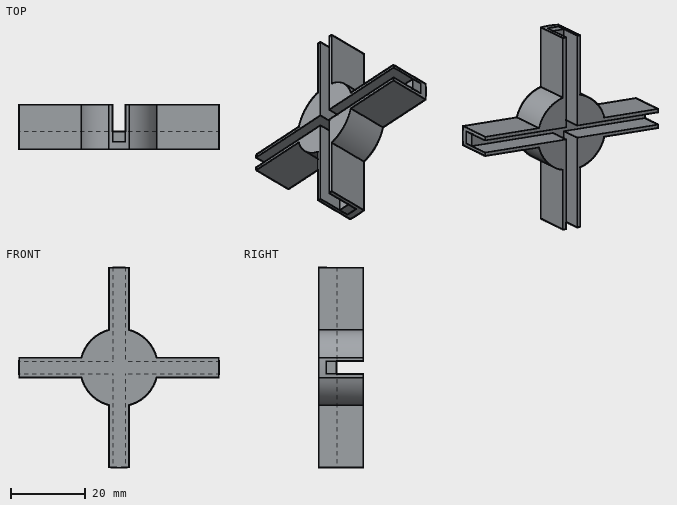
import cadquery as cq

thickness = 12.0
tip_radius = 26.947
hub_radius = 10.5
arm_width = 5.4
slot_width = 3.4
plate_thickness = 2.0
rail_top = 4.85
rail_half_length = 26.88

overshoot = 1.0


def y_cylinder(radius, depth):
    """Cylinder about the Y axis, from Y = 0 to Y = depth."""
    return cq.Workplane("XZ").circle(radius).extrude(-depth)


def cross(half_length, width, y_start, y_end):
    """Two crossed bars along X and Z, between two Y levels."""
    length = 2 * half_length
    plane = cq.Workplane("XZ", origin=(0, y_start, 0))
    bar_x = plane.rect(length, width).extrude(y_start - y_end)
    bar_z = plane.rect(width, length).extrude(y_start - y_end)
    return bar_x.union(bar_z)


def make_body():
    """Four arms with tips rounded about the Y axis, joined by the hub."""
    arms = cross(tip_radius + overshoot, arm_width, 0, thickness)
    arms = arms.intersect(y_cylinder(tip_radius, thickness))
    return arms.union(y_cylinder(hub_radius, thickness))


def make_channels():
    """Open channel along both arm pairs, less the rail that fills its bottom."""
    cut_half_length = tip_radius + overshoot
    channel = cross(cut_half_length, slot_width, plate_thickness, thickness + overshoot)
    rail = cross(rail_half_length, slot_width, plate_thickness, rail_top)
    return channel.cut(rail)


result = make_body().cut(make_channels())